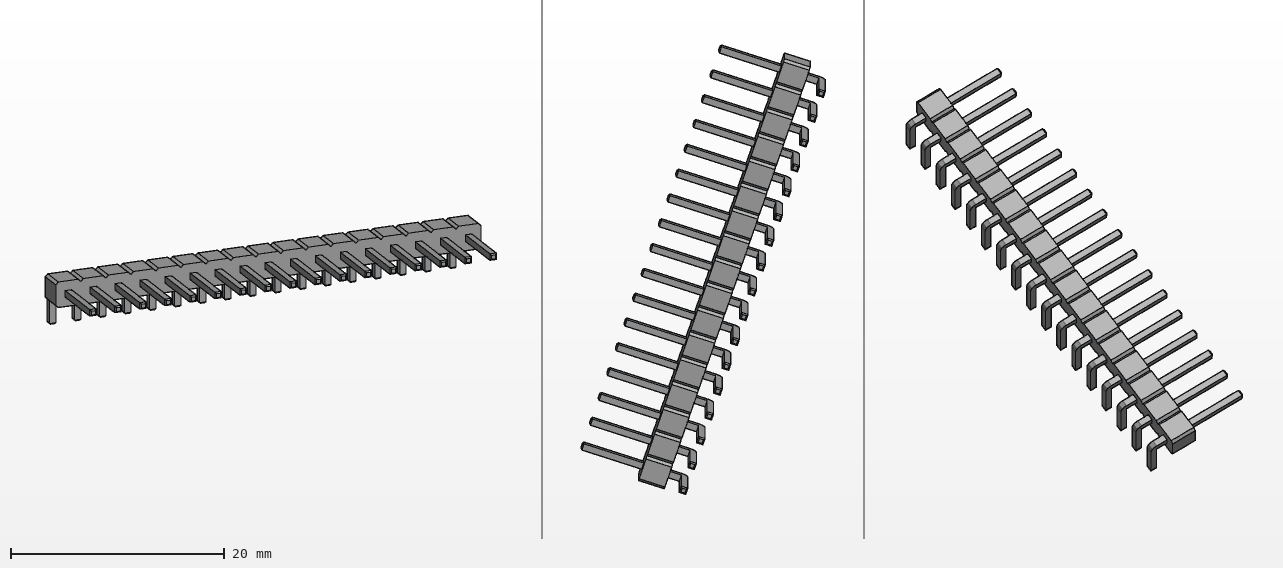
import cadquery as cq


pin_count = 17
row_length = 43.2
pitch = row_length / pin_count
housing_width = pitch
housing_height = pitch
cell_chamfer = 0.25

pin_size = 0.65
pin_length = 10.35
bend_to_housing = 1.8
overall_height = 5.53
bend_radius = pin_size
tip_chamfer = 0.15

half_pin = pin_size / 2
bend_back_x = -housing_width / 2 - bend_to_housing
mating_tip_x = bend_back_x + pin_length
solder_tip_z = housing_height / 2 - overall_height


def make_cell():
    """One housing cell with its four edges along X chamfered."""
    return (
        cq.Workplane("XY")
        .box(housing_width, pitch, housing_height)
        .edges("|X")
        .chamfer(cell_chamfer)
    )


def make_pin():
    """One square pin, bent down behind the housing, with both tips chamfered."""
    leg_front_x = bend_back_x + pin_size
    return (
        cq.Workplane("XZ")
        .moveTo(bend_back_x, solder_tip_z)
        .lineTo(leg_front_x, solder_tip_z)
        .lineTo(leg_front_x, -half_pin)
        .lineTo(mating_tip_x, -half_pin)
        .lineTo(mating_tip_x, half_pin)
        .lineTo(bend_back_x + bend_radius, half_pin)
        .radiusArc((bend_back_x, half_pin - bend_radius), -bend_radius)
        .close()
        .extrude(half_pin, both=True)
        .faces(">X or <Z")
        .chamfer(tip_chamfer)
    )


unit = make_cell().union(make_pin())
first_y = -(row_length - pitch) / 2

result = cq.Workplane("XY")
for index in range(pin_count):
    result = result.union(unit.translate((0, first_y + index * pitch, 0)))